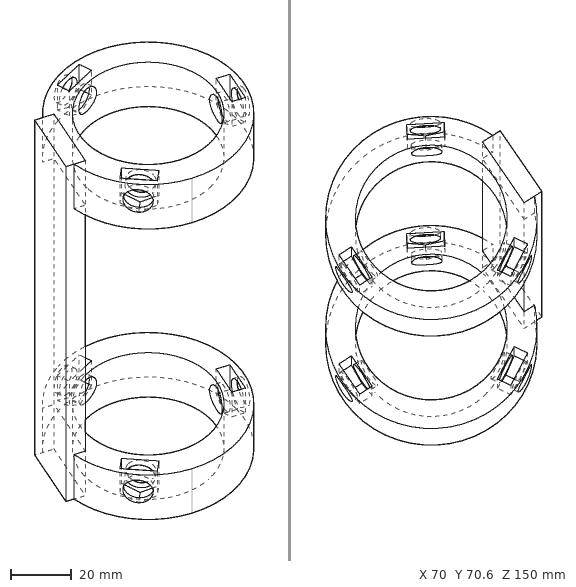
import cadquery as cq
import math

total_height = 150.0

ring_outer_radius = 35.0
ring_inner_radius = 25.0
ring_height = 20.0
ring_bottoms = [0.0, total_height - ring_height]

bar_width = 25.0
bar_thickness = 7.0
bar_proud = 0.6
bar_outer_y = -(ring_outer_radius + bar_proud)

screw_angles = [90, 210, 330]
screw_hole_diameter = 10.0
screw_axis_depth = 7.5
screw_axis_z = ring_height - screw_axis_depth
screw_cut_margin = 1.5

nut_across_flats = 12.5
nut_thickness = 5.0
nut_corner_radius = nut_across_flats / math.sqrt(3)
pocket_mid_radius = (ring_outer_radius + ring_inner_radius) / 2
pocket_inner_radius = pocket_mid_radius - nut_thickness / 2


def make_bar():
    """Straight rectangular bar, full height."""
    return (
        cq.Workplane("XY")
        .box(bar_width, bar_thickness, total_height, centered=(True, False, False))
        .translate((0, bar_outer_y, 0))
    )


def make_screw_hole():
    """Cutter along +X for one radial hole through the ring wall."""
    return (
        cq.Workplane("YZ")
        .center(0, screw_axis_z)
        .circle(screw_hole_diameter / 2)
        .extrude(ring_outer_radius + screw_cut_margin)
    )


def make_nut_pocket():
    """Cutter on +X for one nut pocket: upright sides, pointed floor, open top."""
    half_width = nut_across_flats / 2
    shoulder_z = screw_axis_z - nut_corner_radius / 2
    point_z = screw_axis_z - nut_corner_radius
    outline = [
        (-half_width, ring_height),
        (-half_width, shoulder_z),
        (0, point_z),
        (half_width, shoulder_z),
        (half_width, ring_height),
    ]
    return (
        cq.Workplane("YZ", origin=(pocket_inner_radius, 0, 0))
        .polyline(outline)
        .close()
        .extrude(nut_thickness)
    )


def make_ring(bottom_z, seated_bar):
    """Clamp ring with three screw holes and nut pockets, notched to seat the bar."""
    ring = (
        cq.Workplane("XY")
        .circle(ring_outer_radius)
        .circle(ring_inner_radius)
        .extrude(ring_height)
    )
    for angle in screw_angles:
        for cutter in (make_screw_hole(), make_nut_pocket()):
            ring = ring.cut(cutter.rotate((0, 0, 0), (0, 0, 1), angle))
    return ring.translate((0, 0, bottom_z)).cut(seated_bar)


bar = make_bar()
rings = [make_ring(bottom_z, bar) for bottom_z in ring_bottoms]

result = cq.Compound.makeCompound([bar.val(), *[ring.solids().val() for ring in rings]])